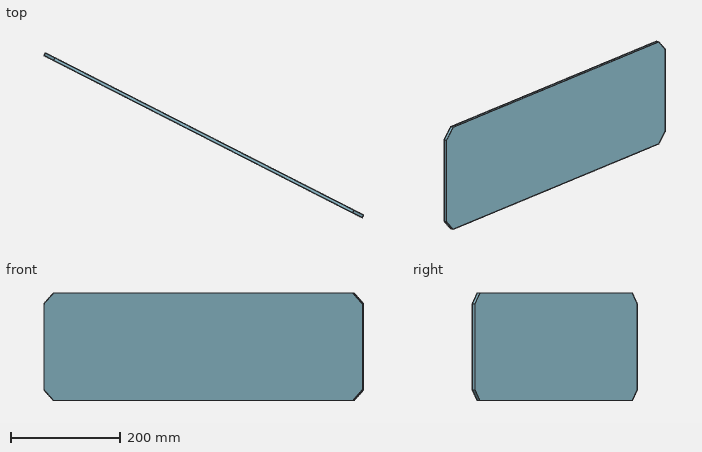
import cadquery as cq

length = 653.0
height = 197.0
thickness = 6.0
corner_cut = 20.0
turn_angle = -27.0

panel = cq.Workplane("XY").box(length, thickness, height)
panel = panel.edges("|Y").chamfer(corner_cut)

result = panel.rotate((0, 0, 0), (0, 0, 1), turn_angle)